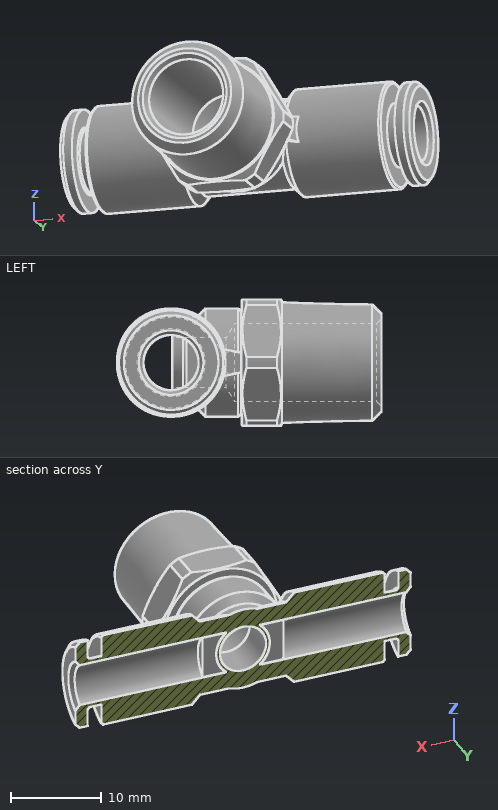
import cadquery as cq
import math


overall_length = 40.6
body_end = 17.17
body_radius = 6.0
body_end_chamfer = 0.25
waist_end = 5.2
waist_radius = 5.05

collar_radius = 5.75
collar_thickness = 1.55
collar_chamfer = 0.53
collar_neck_radius = 3.57
collar_root_chamfer = 0.2
tube_bore_radius = 3.05
bore_mouth_chamfer = 0.53

hub_radius = body_radius
hub_start = 3.8
hub_end = 7.7
hub_end_chamfer = 0.3

hex_sides = 6
hex_start = 7.8
hex_end = 12.25
hex_across_flats = 14.0
hex_corner_radius = 7.75
hex_face_radius = 6.82
hex_chamfer_angle = 30.0

thread_end = 23.3
thread_root_radius = 6.7
thread_tip_radius = 6.45
thread_tip_chamfer = 1.05

branch_bore_radius = 4.3
branch_mouth_chamfer = 0.55
branch_bore_floor = 6.1
stem_bore_radius = 2.75
drill_cone_half_angle = 59.0

seat_depth = 1.7
seat_half_length = 4.87
barb_tip_depth = 0.12
barb_tip_radius = 3.1
barb_edge_depth = 1.3
barb_edge_radius = 3.65
barb_root_radius = 3.25

gusset_reach = hub_radius + hub_end - hub_end_chamfer
gusset_half_angle = 11.0


def revolve_run(points):
    """Revolve (x, radius) points about the X axis."""
    return cq.Workplane("XY").polyline(points).close().revolve(360, (0, 0, 0), (1, 0, 0))


def revolve_branch(points):
    """Revolve (radius, depth) points about the Y axis, depth running towards -Y."""
    outline = [(radius, -depth) for radius, depth in points]
    return cq.Workplane("XY").polyline(outline).close().revolve(360, (0, 0, 0), (0, 1, 0))


def run_half():
    """Half of the run on the +X side, as one turned solid."""
    end = overall_length / 2
    collar_start = end - collar_thickness
    cone_end = waist_end + body_radius - waist_radius
    return revolve_run([
        (0, 0),
        (0, waist_radius),
        (waist_end, waist_radius),
        (cone_end, body_radius),
        (body_end - body_end_chamfer, body_radius),
        (body_end, body_radius - body_end_chamfer),
        (body_end, collar_neck_radius),
        (collar_start - collar_root_chamfer, collar_neck_radius),
        (collar_start, collar_neck_radius + collar_root_chamfer),
        (collar_start, collar_radius),
        (end - collar_chamfer, collar_radius),
        (end, collar_radius - collar_chamfer),
        (end, 0),
    ])


def run_bore_half():
    """Half of the tube bore on the +X side, with its chamfered mouth."""
    end = overall_length / 2
    return revolve_run([
        (0, 0),
        (0, tube_bore_radius),
        (end - bore_mouth_chamfer, tube_bore_radius),
        (end, tube_bore_radius + bore_mouth_chamfer),
        (end, 0),
    ])


def both_sides(half):
    """Join a +X half with its mirror image."""
    return half.union(half.mirror("YZ"))


def branch_hub():
    """Waist-sized neck from the run axis that widens into the hub."""
    neck_end = hub_start - (hub_radius - waist_radius)
    return revolve_branch([
        (0, 0),
        (waist_radius, 0),
        (waist_radius, neck_end),
        (hub_radius, hub_start),
        (hub_radius, hub_end - hub_end_chamfer),
        (hub_radius - hub_end_chamfer, hub_end),
        (hub_radius - hub_end_chamfer, hex_start),
        (0, hex_start),
    ])


def hexagon():
    """Hexagon with corners on X, trimmed to a turned outline with chamfered faces."""
    corner_diameter = hex_across_flats / math.cos(math.pi / hex_sides)
    prism = (
        cq.Workplane("XZ", origin=(0, -hex_start, 0))
        .polygon(hex_sides, corner_diameter)
        .extrude(hex_end - hex_start)
    )
    chamfer_depth = (hex_corner_radius - hex_face_radius) * math.tan(math.radians(hex_chamfer_angle))
    turned_outline = revolve_branch([
        (0, hex_start),
        (hex_face_radius, hex_start),
        (hex_corner_radius, hex_start + chamfer_depth),
        (hex_corner_radius, hex_end - chamfer_depth),
        (hex_face_radius, hex_end),
        (0, hex_end),
    ])
    return prism.intersect(turned_outline)


def thread():
    """Plain tapered envelope of the thread with a chamfered tip."""
    return revolve_branch([
        (0, hex_end),
        (thread_root_radius, hex_end),
        (thread_tip_radius, thread_end - thread_tip_chamfer),
        (thread_tip_radius - thread_tip_chamfer, thread_end),
        (0, thread_end),
    ])


def gussets():
    """Triangular webs on both sides, narrowing towards the branch axis."""
    plate = (
        cq.Workplane("XY")
        .polyline([(-gusset_reach, 0), (gusset_reach, 0), (0, -gusset_reach)])
        .close()
        .extrude(body_radius, both=True)
    )
    half_width = gusset_reach * math.tan(math.radians(gusset_half_angle))
    wedges = (
        cq.Workplane("XZ")
        .polyline([(0, 0), (gusset_reach, -half_width), (gusset_reach, half_width)])
        .close()
        .polyline([(0, 0), (-gusset_reach, -half_width), (-gusset_reach, half_width)])
        .close()
        .extrude(hub_end)
    )
    return plate.intersect(wedges)


def stem_seat():
    """Flat-topped floor of the run bore with the barbed stem end standing on it."""
    floor = cq.Workplane("XY").box(
        2 * seat_half_length, tube_bore_radius, 2 * tube_bore_radius, centered=(True, False, True)
    ).translate((0, -seat_depth - tube_bore_radius, 0))
    stem = revolve_branch([
        (0, barb_tip_depth),
        (barb_tip_radius, barb_tip_depth),
        (barb_edge_radius, barb_edge_depth),
        (barb_root_radius, seat_depth),
        (0, seat_depth),
    ])
    return floor.union(stem)


def branch_bore():
    """Stepped bore from the thread end up to the run axis."""
    cone_length = (branch_bore_radius - stem_bore_radius) / math.tan(math.radians(drill_cone_half_angle))
    return revolve_branch([
        (0, 0),
        (stem_bore_radius, 0),
        (stem_bore_radius, branch_bore_floor),
        (branch_bore_radius, branch_bore_floor + cone_length),
        (branch_bore_radius, thread_end - branch_mouth_chamfer),
        (branch_bore_radius + branch_mouth_chamfer, thread_end),
        (0, thread_end),
    ])


run = both_sides(run_half())
run_bore = both_sides(run_bore_half())
outside = run.union(branch_hub()).union(hexagon()).union(thread()).union(gussets())
inside_run = stem_seat().intersect(run_bore)
result = outside.cut(run_bore).union(inside_run).cut(branch_bore())